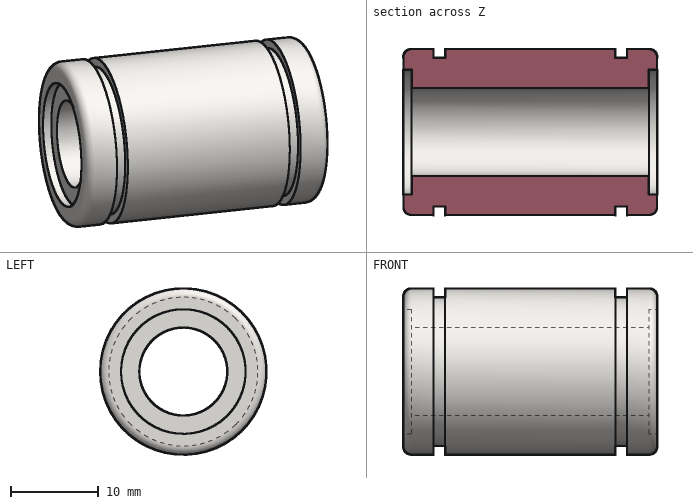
import cadquery as cq

length = 29.0
outer_diameter = 19.0
bore_diameter = 10.0
edge_radius = 1.0

groove_diameter = 17.0
groove_width = 1.3
groove_outer_spacing = 22.0

recess_diameter = 14.2
recess_depth = 1.0


def cylinder(diameter, start, width):
    """Solid cylinder on the X axis, running from start to start + width."""
    return cq.Workplane("YZ", origin=(start, 0, 0)).circle(diameter / 2).extrude(width)


def groove(start):
    """Ring of material to remove for one retaining ring groove."""
    return cylinder(outer_diameter, start, groove_width).cut(
        cylinder(groove_diameter, start, groove_width)
    )


body = cylinder(outer_diameter, -length / 2, length).edges("%CIRCLE").fillet(edge_radius)
body = body.cut(cylinder(bore_diameter, -length / 2, length))

for groove_start in (-groove_outer_spacing / 2, groove_outer_spacing / 2 - groove_width):
    body = body.cut(groove(groove_start))

for recess_start in (-length / 2, length / 2 - recess_depth):
    body = body.cut(cylinder(recess_diameter, recess_start, recess_depth))

result = body